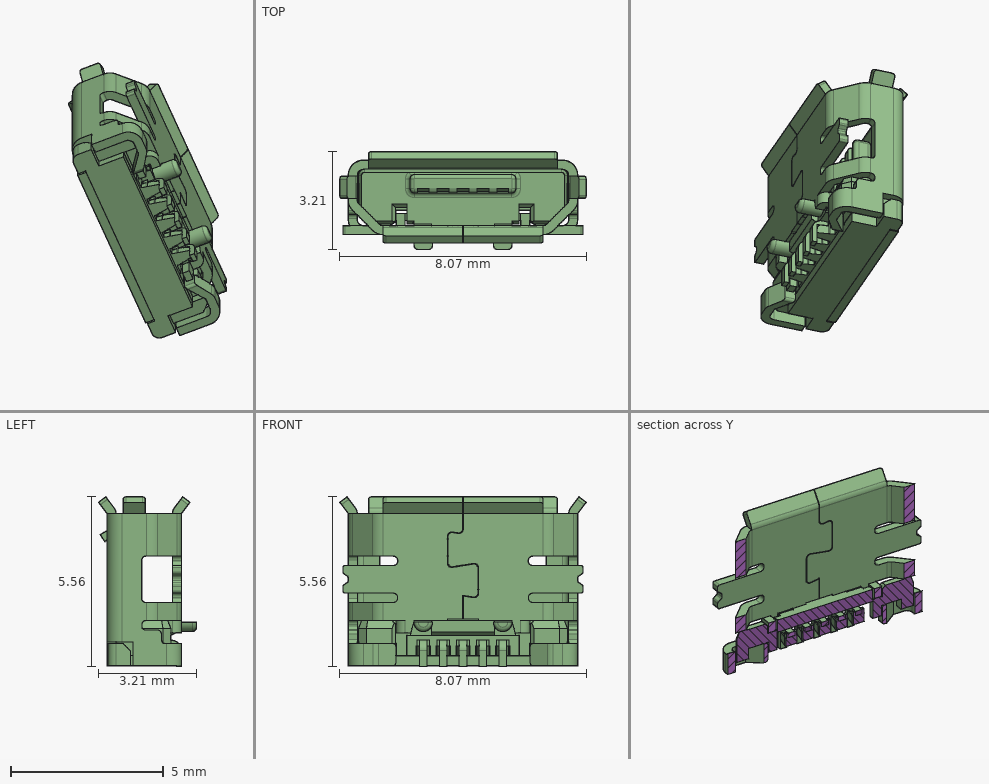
import cadquery as cq
import math


WALL = 0.3
HALF_W = 3.758
DEPTH = 2.443
MOUTH_Z = 4.99
FRONT_Z = 1.48
CORNER_R = 0.5
CORNER_CUT = 0.94

FLARE_ANGLE = math.radians(37)
FLARE_LENGTH = 0.46
FLARE_CORNER = 0.1
BACK_LIP_W = 6.18
FRONT_LIP_W = 5.24
SIDE_LIP_W = 0.73
SIDE_LIP_Y = 1.55

WINDOW_LOW, WINDOW_HIGH = 2.08, 3.59
WINDOW_DEPTH_Y = 1.30
WINDOW_R = 0.13
SLOT_END_R = 0.14
SLOT_END_X = 2.14
ARM_LOW, ARM_HIGH = 2.38, 3.29
ARM_END_X = 3.93
ARM_R = 0.07
NOTCH_DEPTH = 0.17
NOTCH_MOUTH, NOTCH_FLOOR = 0.40, 0.16

FOOT_TOP = 0.735
RIM_JOIN_Y = 1.2
STEP_Z = 1.175
STEP_Y = 0.66
FOOT_BEND_X = 2.94
FOOT_BEND = math.radians(33)
FOOT_BEND_R = 0.32
FOOT_END_X = 2.2
FOOT_TIP_R = 0.1

LEG_INNER_X, LEG_OUTER_X = 1.55, 2.19
LEG_LOW = 1.08
LEG_END_Y = 0.7

LATCH_INNER_X, LATCH_OUTER_X = 2.02, 2.72
LATCH_LOW, LATCH_HIGH = 2.95, 4.43
LATCH_REACH, LATCH_DROP = 0.22, 0.13
LATCH_TIP_RUN, LATCH_TIP_RISE = 0.15, 0.24
LATCH_INNER_EDGE = 0.03

REAR_NOTCH_TOP = 0.79
REAR_NOTCH_Y = 1.59
REAR_NOTCH_X = 2.9

SEAM_GAP = 0.02
SEAM_HALF_W = 0.5
SEAM_LOW_Z, SEAM_MIDDLE_Z, SEAM_HIGH_Z = 2.30, 3.29, 4.36
SEAM_SLANT = 0.08
SEAM_R = 0.14
SEAM_NOTCH_HALF_W, SEAM_NOTCH_H = 0.51, 0.05

BASE_BOTTOM = 0.345
BOSS_HALF_W = 3.42
BOSS_FRONT_Y = 0.35
BOSS_CORNER = 0.26
BOSS_TAPER, BOSS_TAPER_H = 0.1, 0.25
BOSS_REAR_R = 0.2
FOOT_POCKET_Y = 0.79
FOOT_POCKET_GAP = 0.02
CORE_HALF_W = 1.85
CORE_FACE_Y = 0.75
CORE_TOP = 1.0
PANEL_TOP_HALF_W, PANEL_LOW_HALF_W = 1.6, 1.725
LIP_FACE_Y = 0.12
LIP_HALF_W = 1.03
LIP_LOW = 1.11
PEG_X, PEG_R, PEG_LENGTH, PEG_TOP = 1.3, 0.305, 0.49, 1.43
PEG_ROUND = 0.14
KEYHOLE_IN_X, KEYHOLE_OUT_X, KEYHOLE_Y = 1.84, 2.21, 0.89
KEYHOLE_LEAD = 0.11
DRAIN_Y_LOW, DRAIN_Y_HIGH = LEG_END_Y, 0.8
RAIL_FRONT_Y = 0.8
GROOVE_H, GROOVE_DEPTH = 0.02, 0.1
EAR_FRONT_Y = 1.67
EAR_TOP = 0.74
EAR_HALF_W = 3.6
EAR_BACK_Y = 2.40
EAR_GAP = 0.05
EAR_R = 0.26
EAR_CHAMFER = 0.25

TONGUE_HALF_W = 1.73
TONGUE_FRONT_Y, TONGUE_BACK_Y = 1.365, 1.97
TONGUE_TOP = 4.15
TONGUE_EDGE = 0.13
TONGUE_ROOT = 0.15
TONGUE_CORNER_R = 0.14
TONGUE_SLOT_FLOOR = 2.5

PIN_COUNT, PIN_PITCH = 5, 0.65
PIN_W, PIN_T = 0.25, 0.165
PIN_BOTTOM = -0.02
PIN_TAIL_TOP = 0.845
PIN_BEND_R = 0.345
CONTACT_W = 0.39
CONTACT_FRONT_Y, CONTACT_BACK_Y = 1.42, 1.51
CONTACT_LOW_TIP, CONTACT_TIP = 3.3, 3.6
RIB_TIP_W, RIB_ROOT_W = 0.25, 0.47
RIB_TOP = 0.66
POST_W, POST_Y = 0.41, 0.55

FAR = 10.0
TINY = 0.001


def box(x0, x1, y0, y1, z0, z1):
    return cq.Workplane("XY").box(x1 - x0, y1 - y0, z1 - z0, centered=False).translate((x0, y0, z0))


def both_sides(body):
    """A body on the +X side together with its mirror image."""
    return body.union(body.mirror("YZ"))


def side_profile(points):
    """Closed outline in (Y, Z) whose extrusion runs along +X."""
    return cq.Workplane("YZ").polyline(points).close()


def mouth_block(z0, z1):
    """Solid with the shell's outer outline: round corners, both front corners cut off."""
    outline = [
        (-HALF_W + CORNER_CUT, 0), (HALF_W - CORNER_CUT, 0), (HALF_W, CORNER_CUT),
        (HALF_W, DEPTH), (-HALF_W, DEPTH), (-HALF_W, CORNER_CUT),
    ]
    block = cq.Workplane("XY").workplane(offset=z0).polyline(outline).close().extrude(z1 - z0)
    return block.edges("|Z").fillet(CORNER_R)


def mouth_bore(z0, z1):
    """The space inside the shell wall."""
    return mouth_block(z0, z1).faces(">Z").wires().toPending().offset2D(-WALL).extrude(-(z1 - z0), combine=False)


def lip(width):
    """Flared lip: its outer base edge lies on the X axis, it leans towards -Y and is bent inside."""
    sin_a, cos_a = math.sin(FLARE_ANGLE), math.cos(FLARE_ANGLE)
    outer_tip = (-FLARE_LENGTH * sin_a, FLARE_LENGTH * cos_a)
    inner_tip = (outer_tip[0] + WALL * cos_a, outer_tip[1] + WALL * sin_a)
    bend_mid = (WALL * math.cos(FLARE_ANGLE / 2), WALL * math.sin(FLARE_ANGLE / 2))
    bend_end = (WALL * cos_a, WALL * sin_a)
    body = (
        cq.Workplane("YZ").moveTo(0, 0).lineTo(*outer_tip).lineTo(*inner_tip).lineTo(*bend_end)
        .threePointArc(bend_mid, (WALL, 0)).close().extrude(width / 2, both=True)
    )
    tip_middle = ((outer_tip[0] + inner_tip[0]) / 2, (outer_tip[1] + inner_tip[1]) / 2)
    for side in (-1, 1):
        corner = cq.selectors.NearestToPointSelector((side * width / 2, *tip_middle))
        body = body.edges(corner).fillet(FLARE_CORNER)
    return body


def flared_lips():
    front = lip(FRONT_LIP_W)
    back = lip(BACK_LIP_W).rotate((0, 0, 0), (0, 0, 1), 180).translate((0, DEPTH, 0))
    side = lip(SIDE_LIP_W).rotate((0, 0, 0), (0, 0, 1), 90).translate((HALF_W, SIDE_LIP_Y, 0))
    return front.union(back).union(both_sides(side)).translate((0, 0, MOUTH_Z))


def side_window():
    """Opening through the cut corner, ending in round slots beside the arm."""
    opening = box(SLOT_END_X, FAR, -FAR, WINDOW_DEPTH_Y, WINDOW_LOW, WINDOW_HIGH)
    opening = opening.cut(box(0, HALF_W - CORNER_CUT, -FAR, WALL, ARM_LOW, ARM_HIGH))
    opening = opening.edges("|X and >Y").fillet(WINDOW_R)
    slot_ends = cq.selectors.BoxSelector((SLOT_END_X - TINY, -2 * FAR, 0), (SLOT_END_X + TINY, WALL, FAR))
    return opening.edges(slot_ends).edges("|Y").fillet(SLOT_END_R)


def arm():
    """Flat arm in the plane of the front wall with a notched end."""
    middle = (ARM_LOW + ARM_HIGH) / 2
    root_x = HALF_W - CORNER_CUT - CORNER_R
    notch_x = ARM_END_X - NOTCH_DEPTH
    outline = [
        (root_x, ARM_LOW), (ARM_END_X, ARM_LOW), (ARM_END_X, middle - NOTCH_MOUTH / 2),
        (notch_x, middle - NOTCH_FLOOR / 2), (notch_x, middle + NOTCH_FLOOR / 2),
        (ARM_END_X, middle + NOTCH_MOUTH / 2), (ARM_END_X, ARM_HIGH), (root_x, ARM_HIGH),
    ]
    plate = cq.Workplane("XZ").polyline(outline).close().extrude(-WALL)
    return plate.edges("|Y and (not <X)").fillet(ARM_R)


def foot():
    """Front end of the lower rim on one side, bent slightly inwards at its tip."""
    bend_out = (FOOT_BEND_X - FOOT_BEND_R * math.sin(FOOT_BEND), FOOT_BEND_R * (1 - math.cos(FOOT_BEND)))
    bend_mid = (FOOT_BEND_X - FOOT_BEND_R * math.sin(FOOT_BEND / 2),
                FOOT_BEND_R * (1 - math.cos(FOOT_BEND / 2)))
    tip_outer = (FOOT_END_X, bend_out[1] + (bend_out[0] - FOOT_END_X) * math.tan(FOOT_BEND))
    tip_inner = (FOOT_END_X, tip_outer[1] + WALL / math.cos(FOOT_BEND))
    inner_bend = (FOOT_BEND_X - WALL * math.tan(FOOT_BEND / 2), WALL)
    plate = (
        cq.Workplane("XY").moveTo(HALF_W - CORNER_R, 0).lineTo(FOOT_BEND_X, 0)
        .threePointArc(bend_mid, bend_out).lineTo(*tip_outer).lineTo(*tip_inner)
        .lineTo(*inner_bend).lineTo(HALF_W - CORNER_R, WALL).close().extrude(FOOT_TOP)
    )
    return plate.edges("<X and (not |Z)").edges(">Z or <Z").fillet(FOOT_TIP_R)


def rim_front():
    """Round front corners of the lower rim, open in the middle, with both feet."""
    block = box(-HALF_W, HALF_W, 0, RIM_JOIN_Y, 0, FRONT_Z).edges("|Z and <Y").fillet(CORNER_R)
    bore = box(WALL - HALF_W, HALF_W - WALL, WALL, RIM_JOIN_Y, 0, FRONT_Z)
    bore = bore.edges("|Z and <Y").fillet(CORNER_R - WALL)
    front_opening = box(CORNER_R - HALF_W, HALF_W - CORNER_R, 0, RIM_JOIN_Y, 0, FRONT_Z)
    return block.cut(bore).cut(front_opening).union(both_sides(foot()))


def rim_cutout():
    """Stepped cutout through both sides between the feet and the upper shell."""
    outline = [
        (-1, FOOT_TOP), (STEP_Y, FOOT_TOP), (STEP_Y, STEP_Z), (WINDOW_DEPTH_Y, STEP_Z),
        (WINDOW_DEPTH_Y, FRONT_Z), (-1, FRONT_Z),
    ]
    return side_profile(outline).extrude(FAR, both=True).edges("|X and (not <Y)").fillet(WINDOW_R)


def hooked_leg():
    """Strip hanging from the front wall and bent back into the housing."""
    bend_x = LEG_OUTER_X - WALL
    diagonal = WALL * math.sqrt(0.5)
    return (
        cq.Workplane("XY").workplane(offset=LEG_LOW).moveTo(LEG_INNER_X, 0).lineTo(bend_x, 0)
        .threePointArc((bend_x + diagonal, WALL - diagonal), (LEG_OUTER_X, WALL))
        .lineTo(LEG_OUTER_X, LEG_END_Y).lineTo(bend_x, LEG_END_Y).lineTo(bend_x, WALL)
        .lineTo(LEG_INNER_X, WALL).close().extrude(FRONT_Z - LEG_LOW)
    )


def latch_tab():
    """Flap folded outwards from the top of a back window."""
    inner_y = DEPTH - WALL
    upper_tip = (DEPTH + LATCH_REACH, LATCH_HIGH - LATCH_DROP)
    lower_tip = (upper_tip[0] - LATCH_TIP_RUN, upper_tip[1] - LATCH_TIP_RISE)
    outline = [(inner_y, LATCH_HIGH), (DEPTH, LATCH_HIGH), upper_tip, lower_tip,
               (inner_y, LATCH_HIGH - LATCH_INNER_EDGE)]
    tab = side_profile(outline).extrude(LATCH_OUTER_X - LATCH_INNER_X)
    return tab.translate((LATCH_INNER_X, 0, 0))


def seam():
    """Thin interlocking joint line down the middle of the front wall."""
    corners = [
        (SEAM_HALF_W, SEAM_LOW_Z - SEAM_SLANT), (SEAM_HALF_W, SEAM_MIDDLE_Z + SEAM_SLANT),
        (-SEAM_HALF_W, SEAM_MIDDLE_Z - SEAM_SLANT), (-SEAM_HALF_W, SEAM_HIGH_Z + SEAM_SLANT / 2),
        (0, SEAM_HIGH_Z - SEAM_SLANT / 2),
    ]
    points = [(0, 0), (0, SEAM_LOW_Z), *corners, (0, FAR)]
    path = cq.Wire.makePolygon([cq.Vector(x, 0, z) for x, z in points])
    rounded = [v for v in path.Vertices() if any(math.dist((v.X, v.Z), c) < TINY for c in corners)]
    path = path.fillet(SEAM_R, rounded)
    return cq.Workplane("XZ").add(path).toPending().offset2D(SEAM_GAP / 2).extrude(WALL, both=True)


def make_shell():
    shell = mouth_block(0, MOUTH_Z).cut(mouth_bore(0, MOUTH_Z))
    shell = shell.cut(box(-FAR, FAR, -FAR, RIM_JOIN_Y, 0, FRONT_Z)).union(rim_front()).cut(rim_cutout())
    shell = shell.cut(both_sides(side_window())).union(both_sides(arm()))
    shell = shell.union(both_sides(hooked_leg())).union(flared_lips())
    latch_window = box(LATCH_INNER_X, LATCH_OUTER_X, DEPTH - WALL, DEPTH, LATCH_LOW, LATCH_HIGH)
    shell = shell.cut(both_sides(latch_window)).union(both_sides(latch_tab()))
    rear_notch = box(REAR_NOTCH_X, FAR, REAR_NOTCH_Y, FAR, 0, REAR_NOTCH_TOP)
    seam_notch = box(-SEAM_NOTCH_HALF_W, SEAM_NOTCH_HALF_W, 0, WALL, FRONT_Z, FRONT_Z + SEAM_NOTCH_H)
    shell = shell.cut(both_sides(rear_notch)).cut(seam_notch).cut(seam())
    return shell.cut(panel(0))


def shoulders():
    """Main block of the housing, with cut front corners and a tapered top."""
    back_y = DEPTH - WALL
    outline = [
        (-BOSS_HALF_W, BOSS_FRONT_Y + BOSS_CORNER), (BOSS_CORNER - BOSS_HALF_W, BOSS_FRONT_Y),
        (BOSS_HALF_W - BOSS_CORNER, BOSS_FRONT_Y), (BOSS_HALF_W, BOSS_FRONT_Y + BOSS_CORNER),
        (BOSS_HALF_W, back_y), (-BOSS_HALF_W, back_y),
    ]
    straight_h = FRONT_Z - BOSS_TAPER_H - BASE_BOTTOM
    block = cq.Workplane("XY", origin=(0, 0, BASE_BOTTOM)).polyline(outline).close().extrude(straight_h)
    block = block.edges("|Z and >Y").fillet(BOSS_REAR_R)
    taper = math.degrees(math.atan2(BOSS_TAPER, BOSS_TAPER_H))
    return block.faces(">Z").wires().toPending().extrude(BOSS_TAPER_H, taper=taper)


def panel(front_y):
    """Tapered panel in the gap between the hooked legs, reaching back to the terminal face."""
    outline = [(-PANEL_LOW_HALF_W, CORE_TOP), (PANEL_LOW_HALF_W, CORE_TOP),
               (PANEL_TOP_HALF_W, FRONT_Z), (-PANEL_TOP_HALF_W, FRONT_Z)]
    return cq.Workplane("XZ", origin=(0, front_y, 0)).polyline(outline).close().extrude(front_y - CORE_FACE_Y)


def ledge():
    """Ledge under the middle of the front wall with a sloped underside."""
    outline = [(LIP_FACE_Y, LIP_LOW), (BOSS_FRONT_Y, CORE_TOP), (BOSS_FRONT_Y, FRONT_Z), (LIP_FACE_Y, FRONT_Z)]
    return side_profile(outline).extrude(LIP_HALF_W, both=True)


def peg():
    """Half-round locating peg with a flat top and a rounded end."""
    body = cq.Workplane("XZ", origin=(PEG_X, BOSS_FRONT_Y, PEG_TOP)).circle(PEG_R).extrude(BOSS_FRONT_Y + PEG_LENGTH)
    body = body.faces("<Y").edges().fillet(PEG_ROUND)
    return body.cut(box(0, FAR, -FAR, FAR, PEG_TOP, FAR))


def front_recess():
    """Shallow recess between the shoulders, below the hooked legs, with bevelled sides."""
    back_y = BOSS_FRONT_Y + KEYHOLE_LEAD
    plan = [(-KEYHOLE_OUT_X, back_y), (-KEYHOLE_OUT_X - KEYHOLE_LEAD, BOSS_FRONT_Y),
            (KEYHOLE_OUT_X + KEYHOLE_LEAD, BOSS_FRONT_Y), (KEYHOLE_OUT_X, back_y)]
    return cq.Workplane("XY").polyline(plan).close().extrude(LEG_LOW)


def keyhole():
    """Slot for a hooked leg, with a lead-in at its top and a drain through its floor."""
    plan = [
        (KEYHOLE_IN_X, 0), (KEYHOLE_OUT_X + KEYHOLE_LEAD, 0), (KEYHOLE_OUT_X + KEYHOLE_LEAD, BOSS_FRONT_Y),
        (KEYHOLE_OUT_X, BOSS_FRONT_Y + KEYHOLE_LEAD), (KEYHOLE_OUT_X, KEYHOLE_Y), (KEYHOLE_IN_X, KEYHOLE_Y),
    ]
    slot = cq.Workplane("XY", origin=(0, 0, LEG_LOW)).polyline(plan).close().extrude(FRONT_Z - LEG_LOW)
    lead = box(KEYHOLE_IN_X, KEYHOLE_OUT_X + KEYHOLE_LEAD, -1, KEYHOLE_Y + KEYHOLE_LEAD,
               FRONT_Z - KEYHOLE_LEAD, FRONT_Z)
    lead = lead.edges("<Z and (>X or >Y)").chamfer(KEYHOLE_LEAD - TINY)
    drain = box(KEYHOLE_IN_X, LEG_OUTER_X, DRAIN_Y_LOW, DRAIN_Y_HIGH, BASE_BOTTOM, LEG_LOW)
    return slot.union(lead).union(drain)


def ear():
    """Corner block standing in the rear cutout of the shell."""
    body = box(REAR_NOTCH_X + EAR_GAP, EAR_HALF_W, EAR_FRONT_Y, EAR_BACK_Y, 0, EAR_TOP)
    body = body.edges("|Z and >X and >Y").fillet(EAR_R)
    return body.edges("|X and <Y and >Z").chamfer(EAR_CHAMFER)


def tongue():
    """Contact carrier standing in the mouth, flared at its root."""
    middle_y = (TONGUE_FRONT_Y + TONGUE_BACK_Y) / 2
    plan = cq.Workplane("XY", origin=(0, middle_y, FRONT_Z))
    body = plan.rect(2 * TONGUE_HALF_W, TONGUE_BACK_Y - TONGUE_FRONT_Y).extrude(TONGUE_TOP - FRONT_Z)
    body = body.edges("|Z").fillet(TONGUE_CORNER_R).faces(">Z").edges().fillet(TONGUE_EDGE)
    return body


def root_edges():
    """Selector for the edges where the tongue meets the top of the main block."""
    return cq.selectors.BoxSelector(
        (-TONGUE_HALF_W - TINY, TONGUE_FRONT_Y - TINY, FRONT_Z - TINY),
        (TONGUE_HALF_W + TINY, TONGUE_BACK_Y + TINY, FRONT_Z + TINY),
    )


def terminal_rib(x):
    """Rib under a terminal that narrows towards the solder tail."""
    plan = [(-RIB_TIP_W / 2, PIN_T), (RIB_TIP_W / 2, PIN_T),
            (RIB_ROOT_W / 2, CORE_FACE_Y), (-RIB_ROOT_W / 2, CORE_FACE_Y)]
    rib = cq.Workplane("XY", origin=(0, 0, BASE_BOTTOM)).polyline(plan).close().extrude(RIB_TOP - BASE_BOTTOM)
    post = box(-POST_W / 2, POST_W / 2, POST_Y, CORE_FACE_Y, BASE_BOTTOM, PIN_TAIL_TOP)
    return rib.union(post).translate((x, 0, 0))


def contact_slot(x):
    return box(x - CONTACT_W / 2, x + CONTACT_W / 2, 0, CONTACT_BACK_Y, TONGUE_SLOT_FLOOR, FAR)


def make_terminal(x):
    """Solder tail bent back into the housing, then a blade rising along the tongue."""
    bend = PIN_BEND_R * (1 - math.sqrt(0.5))
    inner_r = PIN_BEND_R - PIN_T
    inner_bend = PIN_T + inner_r * (1 - math.sqrt(0.5))
    tail = (
        cq.Workplane("YZ").moveTo(0, PIN_BOTTOM).lineTo(0, PIN_TAIL_TOP - PIN_BEND_R)
        .threePointArc((bend, PIN_TAIL_TOP - bend), (PIN_BEND_R, PIN_TAIL_TOP))
        .lineTo(CONTACT_BACK_Y, PIN_TAIL_TOP).lineTo(CONTACT_BACK_Y, PIN_TAIL_TOP - PIN_T)
        .lineTo(PIN_BEND_R, PIN_TAIL_TOP - PIN_T)
        .threePointArc((inner_bend, PIN_TAIL_TOP - inner_bend), (PIN_T, PIN_TAIL_TOP - PIN_BEND_R))
        .lineTo(PIN_T, PIN_BOTTOM).close().extrude(PIN_W / 2, both=True)
    )
    blade_outline = [
        (CONTACT_FRONT_Y, PIN_TAIL_TOP - PIN_T), (CONTACT_BACK_Y, PIN_TAIL_TOP - PIN_T),
        (CONTACT_BACK_Y, CONTACT_TIP), (CONTACT_FRONT_Y, CONTACT_LOW_TIP),
    ]
    blade = side_profile(blade_outline).extrude(CONTACT_W / 2, both=True)
    return tail.union(blade).translate((x, 0, 0))


def make_housing(pin_places, terminals):
    housing = shoulders()
    core_recess = box(-CORE_HALF_W, CORE_HALF_W, 0, CORE_FACE_Y, 0, CORE_TOP)
    foot_pocket = box(FOOT_END_X - FOOT_POCKET_GAP, FOOT_BEND_X, 0, FOOT_POCKET_Y,
                      0, FOOT_TOP)
    housing = housing.cut(core_recess).cut(front_recess()).cut(both_sides(foot_pocket))
    rail = box(-REAR_NOTCH_X - EAR_GAP, REAR_NOTCH_X + EAR_GAP, RAIL_FRONT_Y, DEPTH - WALL, 0, BASE_BOTTOM)
    groove = box(-FOOT_END_X, FOOT_END_X, 0, RAIL_FRONT_Y + GROOVE_DEPTH, BASE_BOTTOM - GROOVE_H, BASE_BOTTOM)
    housing = housing.union(rail).cut(groove).union(both_sides(ear())).cut(both_sides(keyhole()))
    housing = housing.union(panel(BOSS_FRONT_Y)).union(ledge()).union(both_sides(peg())).union(tongue())
    housing = housing.edges(root_edges()).fillet(TONGUE_ROOT)
    for x, terminal in zip(pin_places, terminals):
        housing = housing.union(terminal_rib(x)).cut(contact_slot(x)).cut(terminal)
    return housing


pin_places = [PIN_PITCH * (i - (PIN_COUNT - 1) / 2) for i in range(PIN_COUNT)]
shell = make_shell()
terminals = [make_terminal(x) for x in pin_places]
housing = make_housing(pin_places, terminals)
result = cq.Compound.makeCompound([shell.val(), housing.val(), *[terminal.val() for terminal in terminals]])